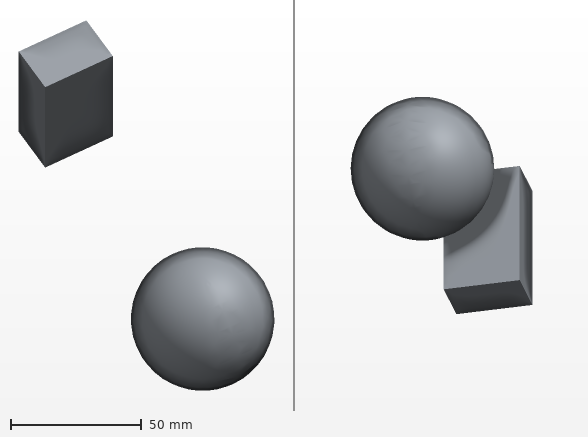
import cadquery as cq

overall_length = 141.3
block_length = 20.0
block_width = 30.0
block_height = 50.0
ball_diameter = 55.0

ball_radius = ball_diameter / 2
ball_center_x = overall_length - ball_radius


def make_block():
    """Plain upright block standing on Z = 0, with its -X face at X = 0."""
    return cq.Workplane("XY").box(
        block_length, block_width, block_height, centered=(False, True, False)
    )


def make_ball():
    """Solid ball, set apart from the block along X and on the same centre plane."""
    return cq.Workplane("XY").sphere(ball_radius).translate((ball_center_x, 0, 0))


block = make_block()
ball = make_ball()

result = cq.Compound.makeCompound([block.val(), ball.val()])